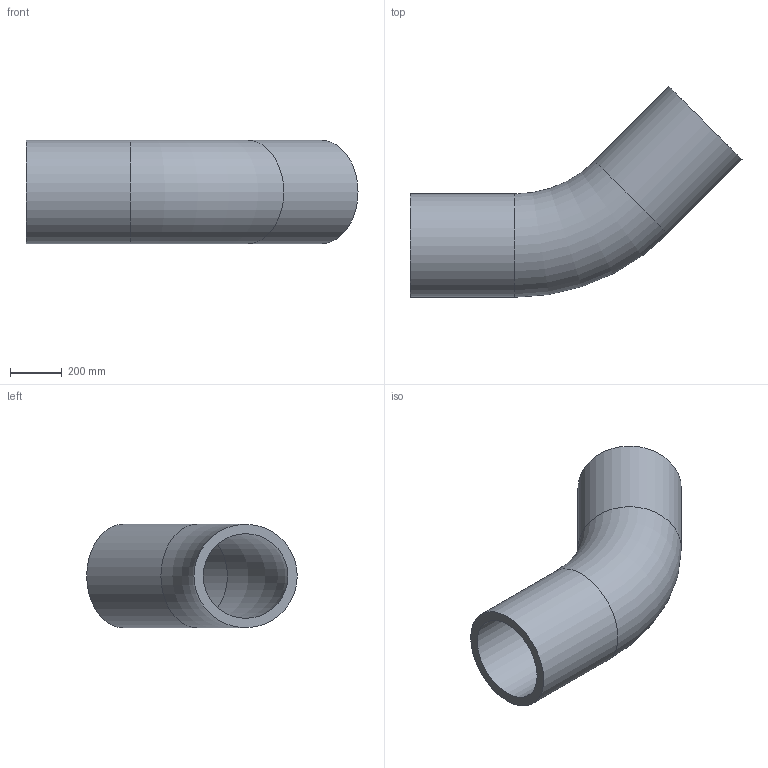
import cadquery as cq
import math

outer_diameter = 400.0
inner_diameter = 327.4
bend_angle = 45.0
bend_radius = 637.0
face_to_corner = 670.0

half_bend = math.radians(bend_angle / 2)
leg_length = face_to_corner - bend_radius * math.tan(half_bend)


def pipe_ring(x_position):
    """Pipe cross-section on a plane square to X."""
    plane = cq.Workplane("YZ", origin=(x_position, 0, 0))
    return plane.circle(outer_diameter / 2).circle(inner_diameter / 2)


def straight_leg(x_position):
    """Straight pipe leg running along +X from x_position."""
    return pipe_ring(x_position).extrude(leg_length)


def bend():
    """Curved section turning from +X towards +Y about a vertical axis."""
    axis_start = (bend_radius, 0, 0)
    axis_end = (bend_radius, 1, 0)
    return pipe_ring(leg_length).revolve(bend_angle, axis_start, axis_end)


def turned_leg():
    """Second leg, leaving the bend along its turned direction."""
    bend_centre = (leg_length, bend_radius, 0)
    bend_axis_top = (leg_length, bend_radius, 1)
    return straight_leg(leg_length).rotate(bend_centre, bend_axis_top, bend_angle)


result = straight_leg(0).union(bend()).union(turned_leg())